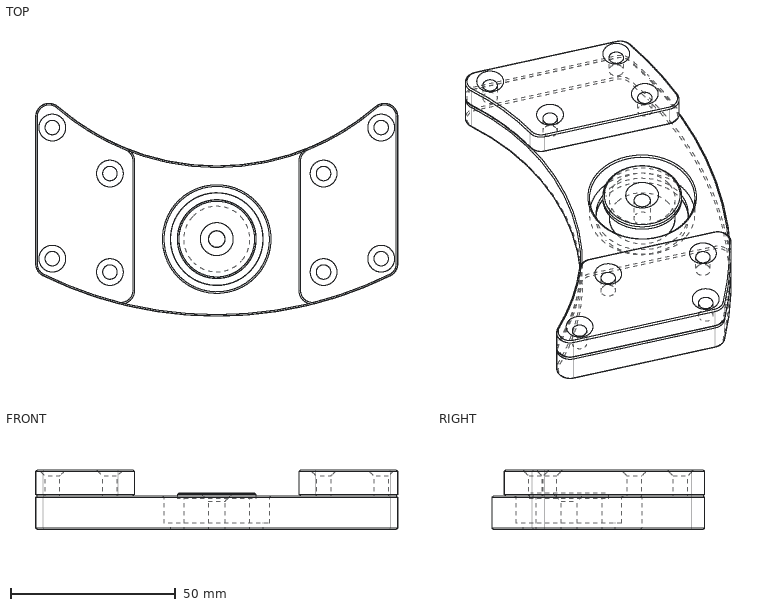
import cadquery as cq
import math

LENGTH = 110.0
HALF_LENGTH = LENGTH / 2
INNER_RADIUS = 73.6
OUTER_RADIUS = 119.2
ARC_CENTER_Y = 95.8
CORNER_RADIUS = 4.1
EDGE_CHAMFER = 0.5

BASE_HEIGHT = 10.2
PAD_HEIGHT = 7.9

PAD_INNER_X = 25.0
PAD_SCREW_POINTS = [(49.9, 33.9), (32.5, 19.9), (49.9, -5.9), (32.5, -10.0)]
PAD_SCREW_DIAMETER = 4.4
PAD_SINK_DIAMETER = 8.1

OPENING_DIAMETER = 32.0
LEDGE_DIAMETER = 28.0
LEDGE_HEIGHT = 2.1

FLANGE_DIAMETER = 24.0
FLANGE_THICKNESS = 1.6
STEM_DIAMETER = 20.0
KNOB_HEIGHT = 11.1
KNOB_SCREW_DIAMETER = 5.0
KNOB_SINK_DIAMETER = 10.0

SINK_ANGLE = 90.0


def arc_y(radius, x):
    """Y of the near side of an outline circle at a given x."""
    return ARC_CENTER_Y - math.sqrt(radius**2 - x**2)


def sector_block(x_start, x_end, height):
    """Chamfered block between the two outline arcs, from x_start to x_end."""
    x_middle = (x_start + x_end) / 2
    return (
        cq.Workplane("XY")
        .moveTo(x_start, arc_y(OUTER_RADIUS, x_start))
        .threePointArc(
            (x_middle, arc_y(OUTER_RADIUS, x_middle)),
            (x_end, arc_y(OUTER_RADIUS, x_end)),
        )
        .lineTo(x_end, arc_y(INNER_RADIUS, x_end))
        .threePointArc(
            (x_middle, arc_y(INNER_RADIUS, x_middle)),
            (x_start, arc_y(INNER_RADIUS, x_start)),
        )
        .close()
        .extrude(height)
        .edges("|Z")
        .fillet(CORNER_RADIUS)
        .faces("<Z or >Z")
        .edges()
        .chamfer(EDGE_CHAMFER)
    )


def make_base():
    """Base plate with a ledge at the bottom of its round opening."""
    base = sector_block(-HALF_LENGTH, HALF_LENGTH, BASE_HEIGHT)
    opening_radius = OPENING_DIAMETER / 2
    ledge_hole = cq.Workplane("XY").circle(LEDGE_DIAMETER / 2).extrude(BASE_HEIGHT)
    opening = (
        cq.Workplane("XY", origin=(0, 0, LEDGE_HEIGHT))
        .circle(opening_radius)
        .extrude(BASE_HEIGHT - LEDGE_HEIGHT)
    )
    rim_bevel = cq.Solid.makeCone(
        opening_radius,
        opening_radius + EDGE_CHAMFER,
        EDGE_CHAMFER,
        pnt=cq.Vector(0, 0, BASE_HEIGHT - EDGE_CHAMFER),
    )
    return base.cut(ledge_hole).cut(opening).cut(rim_bevel)


def make_pad(side):
    """Pad on one end of the base plate; side is -1 for the -X end, 1 for the +X end."""
    x_start, x_end = sorted((side * PAD_INNER_X, side * HALF_LENGTH))
    screw_points = [(side * x, y) for x, y in PAD_SCREW_POINTS]
    return (
        sector_block(x_start, x_end, PAD_HEIGHT)
        .faces(">Z")
        .workplane(origin=(0, 0, PAD_HEIGHT))
        .pushPoints(screw_points)
        .cskHole(PAD_SCREW_DIAMETER, PAD_SINK_DIAMETER, SINK_ANGLE)
        .translate((0, 0, BASE_HEIGHT))
    )


def make_knob():
    """Flanged knob with a countersunk screw hole on its axis."""
    stem = cq.Workplane("XY").circle(STEM_DIAMETER / 2).extrude(KNOB_HEIGHT)
    flange = (
        cq.Workplane("XY", origin=(0, 0, KNOB_HEIGHT - FLANGE_THICKNESS))
        .circle(FLANGE_DIAMETER / 2)
        .extrude(FLANGE_THICKNESS)
    )
    return (
        stem.union(flange)
        .faces(">Z")
        .edges()
        .chamfer(EDGE_CHAMFER)
        .faces(">Z")
        .workplane()
        .cskHole(KNOB_SCREW_DIAMETER, KNOB_SINK_DIAMETER, SINK_ANGLE)
    )


base = make_base()
pads = [make_pad(side) for side in (-1, 1)]
knob = make_knob()

result = cq.Compound.makeCompound([base.val(), *[pad.val() for pad in pads], knob.val()])